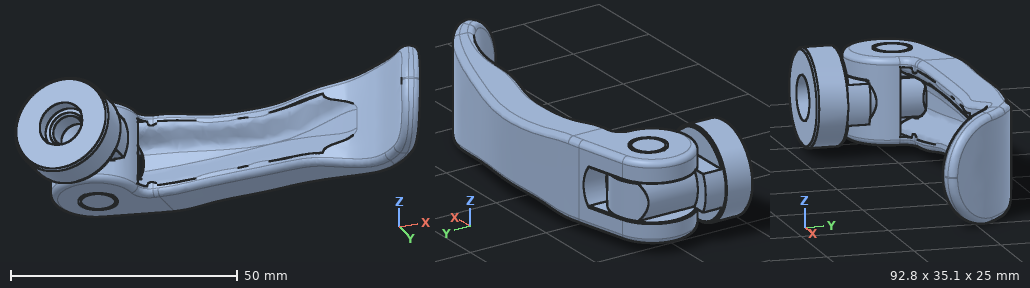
import cadquery as cq
import math


head_half_width = 10.0
cam_radius = 10.0
cam_drop = 1.0
back_angle = 105.5
cam_low_angle = 230.0
neck_angle = 14.0
neck_radius = 2.8
edge_radius = 1.5

back_start = (10.0, 11.8)
back_points = [(21.9, 13.65), (34.1, 14.6), (52.2, 11.7), (66.9, 7.2), (75.4, 1.0)]
back_tip = (82.2, -10.2)
tip_direction = (0.5, -0.9)
belly_tip = (78.2, -12.2)
belly_points = [
    (72.6, -2.4), (68.0, 1.1), (63.1, 2.9), (58.95, 3.2), (55.7, 2.7),
    (52.5, 2.2), (41.8, 3.8), (34.1, 4.3), (21.9, 3.3), (15.3, 2.0),
]

waist_start = 13.5
waist_points = [(21.9, 9.1), (34.1, 8.4), (44.1, 8.6), (51.7, 9.7), (60.3, 11.2)]
paddle_width = 25.0
paddle_start = 69.6
tip_radius = 12.35

channel_stations = [
    (5.6, -0.5, 8.0, 5.0, 1.95),
    (14.9, 2.0, 7.8, 6.1, 1.8),
    (23.2, 3.5, 7.0, 7.15, 1.1),
    (34.1, 4.3, 5.9, 7.7, 0.2),
    (43.6, 3.7, 6.2, 6.9, 0.2),
    (52.5, 2.4, 7.15, 5.3, 1.6),
    (61.3, 0.9, 8.4, 3.1, 2.2),
]
rim_overrun = 1.9

slot_half_width = 4.6
slot_chamfer = 0.3
slot_end_radius = 8.6

pin_radius = 3.8
countersink = 0.6

foot_radius = 11.2
foot_bottom = -20.5
foot_top = -13.4
foot_chamfer = 0.5
boss_radius = 10.8
collar_top = -12.9
boss_top = -8.1
tongue_radius = 7.6
tongue_half_width = 4.5
tongue_top_radius = 9.1
bore_radius = 5.1
bore_depth = 3.25
thread_radius = 3.5
thread_chamfer = 0.6
thread_depth = 8.4
cone_depth = 2.3

reach = 37.1
blank_end = back_tip[0] + 9.3
pick_margin = 0.1


def cam_point(angle):
    turn = math.radians(angle)
    return (cam_radius * math.cos(turn), cam_radius * math.sin(turn) - cam_drop)


def side_profile_prism():
    back_tangent = cam_point(back_angle)
    back_direction = (back_start[0] - back_tangent[0], back_start[1] - back_tangent[1])
    return (
        cq.Workplane("XY", origin=(0, 0, -reach))
        .moveTo(*back_tangent)
        .lineTo(*back_start)
        .spline(back_points + [back_tip], includeCurrent=True, tangents=[back_direction, tip_direction])
        .lineTo(*belly_tip)
        .spline(belly_points + [cam_point(neck_angle)], includeCurrent=True)
        .threePointArc(cam_point(cam_low_angle), back_tangent)
        .close()
        .extrude(2 * reach)
    )


def outline_prism():
    paddle_half = paddle_width / 2
    upper = [(waist_start, head_half_width)] + waist_points + [(paddle_start, paddle_half)]
    lower = [(x, -z) for x, z in reversed(upper)]
    return (
        cq.Workplane("XZ", origin=(0, reach, 0))
        .moveTo(-reach, head_half_width)
        .lineTo(*upper[0])
        .spline(upper[1:], includeCurrent=True, tangents=[(1, 0), (1, 0)])
        .lineTo(blank_end, paddle_half)
        .lineTo(blank_end, -paddle_half)
        .lineTo(*lower[0])
        .spline(lower[1:], includeCurrent=True, tangents=[(-1, 0), (-1, 0)])
        .lineTo(-reach, -head_half_width)
        .close()
        .extrude(2 * reach)
    )


def edges_near(body, x, y):
    corner_low = (x - pick_margin, y - pick_margin, -reach)
    corner_high = (x + pick_margin, y + pick_margin, reach)
    return body.edges(cq.selectors.BoxSelector(corner_low, corner_high))


def largest_arcs(body):
    return body.edges("%CIRCLE").edges(cq.selectors.RadiusNthSelector(-1))


def rounded_blank():
    """Lever without cuts: neck blended, paddle end rounded, then both rims rounded all the way."""
    blank = side_profile_prism().intersect(outline_prism())
    blended = edges_near(blank, *cam_point(neck_angle)).fillet(neck_radius)
    tip_middle = ((back_tip[0] + belly_tip[0]) / 2, (back_tip[1] + belly_tip[1]) / 2)
    round_ended = edges_near(blended, *tip_middle).edges("<Z or >Z").fillet(tip_radius)
    return largest_arcs(round_ended).fillet(edge_radius)


def channel_section(x, rim_height, rim_half, floor_height, floor_half):
    """Flat floor with S-shaped walls that run out level at the rim."""
    level = [(0, 1), (0, 1)]
    return (
        cq.Workplane("YZ", origin=(x, 0, 0))
        .moveTo(rim_height - rim_overrun, -rim_half)
        .lineTo(rim_height, -rim_half)
        .spline([(floor_height, -floor_half)], includeCurrent=True, tangents=level)
        .lineTo(floor_height, floor_half)
        .spline([(rim_height, rim_half)], includeCurrent=True, tangents=level)
        .lineTo(rim_height - rim_overrun, rim_half)
        .close()
        .val()
    )


def finger_channel():
    sections = [channel_section(*station) for station in channel_stations]
    return cq.Workplane(cq.Solid.makeLoft(sections))


def disc(radius, low, high):
    """Cylinder about the Y axis between two heights."""
    return cq.Workplane("XZ", origin=(0, high, 0)).circle(radius).extrude(high - low)


def flat_disc(radius, low, high, half_width):
    """The same cylinder with two flats facing +Z and -Z."""
    flats = cq.Workplane("XY").box(2 * reach, 2 * reach, 2 * half_width)
    return disc(radius, low, high).intersect(flats)


def head_slot():
    """Slot between the cheeks, open towards -X and closed by a round wall towards +X."""
    mouth = cq.Workplane("XY").box(reach, 2 * reach, 2 * slot_half_width).translate((-reach / 2, 0, 0))
    return flat_disc(slot_end_radius, -reach, reach, slot_half_width).union(mouth)


def pin():
    return (
        cq.Workplane("XY", origin=(0, 0, -head_half_width))
        .circle(pin_radius)
        .extrude(2 * head_half_width)
    )


def pin_hole():
    """Through hole for the pin, countersunk on both cheeks."""
    hole = pin()
    for side in (-1, 1):
        cone = cq.Solid.makeCone(
            pin_radius + countersink, pin_radius, countersink,
            (0, 0, side * head_half_width), (0, 0, -side),
        )
        hole = hole.union(cq.Workplane(cone))
    return hole


def make_lever():
    slotted = rounded_blank().cut(finger_channel()).cut(head_slot())
    inner = slot_half_width + pick_margin
    between_cheeks = cq.selectors.BoxSelector((-reach, -reach, -inner), (reach, reach, inner))
    slot_rims = largest_arcs(slotted).edges(between_cheeks)
    return slot_rims.chamfer(slot_chamfer).cut(pin_hole())


def foot_tongue():
    """Eye of the foot: a flattened round stem with a top rounded about the pin."""
    stem = flat_disc(tongue_radius, foot_top, reach, tongue_half_width)
    below_pin = cq.Workplane("XY").box(2 * reach, reach, 2 * reach).translate((0, -reach / 2, 0))
    round_top = cq.Workplane("XY", origin=(0, 0, -reach)).circle(tongue_top_radius).extrude(2 * reach)
    return stem.intersect(below_pin.union(round_top))


def foot_bore():
    """Plain bore, then a chamfered threaded hole with a drill point."""
    bore_end = foot_bottom + bore_depth
    thread_end = foot_bottom + thread_depth
    lead_in = cq.Solid.makeCone(
        thread_radius + thread_chamfer, thread_radius, thread_chamfer, (0, bore_end, 0), (0, 1, 0)
    )
    drill_point = cq.Solid.makeCone(thread_radius, 0, cone_depth, (0, thread_end, 0), (0, 1, 0))
    return (
        disc(bore_radius, foot_bottom, bore_end)
        .union(disc(thread_radius, foot_bottom, thread_end))
        .union(cq.Workplane(lead_in))
        .union(cq.Workplane(drill_point))
    )


def make_foot():
    """Pressure disc, boss, tongue and the pin that carries the lever, in one piece."""
    base = disc(foot_radius, foot_bottom, foot_top).faces("<Y").edges().chamfer(foot_chamfer)
    collar = disc(boss_radius, foot_top, collar_top)
    boss = flat_disc(boss_radius, collar_top, boss_top, slot_half_width)
    solid_foot = base.union(collar).union(boss).union(foot_tongue())
    return solid_foot.cut(foot_bore()).union(pin())


lever = make_lever()
foot = make_foot()
result = cq.Compound.makeCompound([lever.val(), foot.val()])